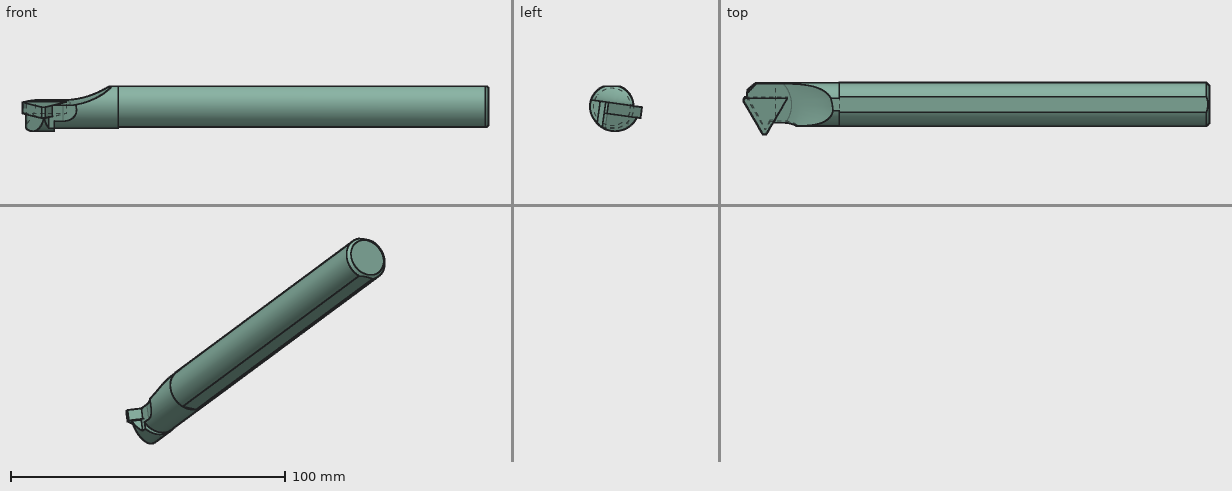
import cadquery as cq
import math

LENGTH = 170.0
SHANK_RADIUS = 8.0
FLAT_HEIGHT = 7.5
REAR_CHAMFER = 1.2
NECK_LENGTH = 35.0
NECK_STEP = 0.08
NECK_Z = -0.08

PAD_LENGTH = 11.7
PAD_RADIUS = 8.8
PAD_Y = -1.2
PAD_Z = -0.2

RAKE_ANGLE = 8.0
RAKE_Z = 1.4

INSERT_SIDE = 16.7
INSERT_THICKNESS = 4.0
INSERT_BACK_Y = 2.2
INSERT_BLUNT = 1.2
LEADING_OVERHANG = 1.4
TRAILING_OVERHANG = 1.0

SCOOP_X = 6.1
SCOOP_FLOOR_RADIUS = 11.4
SCOOP_BLEND_RADIUS = 21.5

RELIEF_Y = -6.8
RELIEF_FLAT_END = 14.8
RELIEF_RUNOUT_RADIUS = 10.2

BEVEL_POINTS = [(1.2, 2.2), (1.5, 4.2), (5.1, 8.0)]

CLEAR = 34.0
HALF_SQRT3 = math.sin(math.radians(60))


def place_on_rake(body):
    """Move a body from rake plane coordinates to its tilted place on the bar."""
    return body.rotate((0, 0, 0), (1, 0, 0), RAKE_ANGLE).translate((0, 0, RAKE_Z))


def x_cylinder(radius, start, end, y=0, z=0):
    return cq.Workplane("YZ", origin=(start, y, z)).circle(radius).extrude(end - start)


def make_blank():
    """Shank with two flats, round neck and eccentric pad."""
    shank = x_cylinder(SHANK_RADIUS, NECK_LENGTH, LENGTH).faces(">X").chamfer(REAR_CHAMFER)
    shank_length = LENGTH - NECK_LENGTH
    between_flats = cq.Workplane("XY").box(shank_length, CLEAR, 2 * FLAT_HEIGHT)
    shank = shank.intersect(between_flats.translate((NECK_LENGTH + shank_length / 2, 0, 0)))

    neck = x_cylinder(SHANK_RADIUS - NECK_STEP, 0, NECK_LENGTH, z=NECK_Z)
    above_flat = cq.Workplane("XY").box(2 * LENGTH, CLEAR, CLEAR)
    neck = neck.cut(above_flat.translate((0, 0, FLAT_HEIGHT + CLEAR / 2)))

    pad = x_cylinder(PAD_RADIUS, 0, PAD_LENGTH, PAD_Y, PAD_Z)
    return shank.union(neck).union(pad)


def insert_outline():
    """Leading edge first: left blunt end, tip blunt end, then the sharp corner in the pocket."""
    side, blunt = INSERT_SIDE, INSERT_BLUNT
    left = -blunt / 2
    back_y = INSERT_BACK_Y
    tip_x = left + side / 2
    tip_y = back_y - (side - blunt) * HALF_SQRT3
    return [
        (left + blunt, back_y),
        (left + blunt / 2, back_y - blunt * HALF_SQRT3),
        (tip_x - blunt / 2, tip_y),
        (tip_x + blunt / 2, tip_y),
        (left + side, back_y),
    ]


def make_insert():
    flat = cq.Workplane("XY").polyline(insert_outline()).close().extrude(-INSERT_THICKNESS)
    return place_on_rake(flat)


def make_scoop():
    """Chip clearance above the rake plane, open towards the front."""
    reach = SCOOP_BLEND_RADIUS
    bend = math.sqrt(0.5) * reach
    edge = SCOOP_FLOOR_RADIUS
    cutter = (
        cq.Workplane("XZ")
        .lineTo(edge, 0)
        .threePointArc((edge + bend, reach - bend), (edge + reach, reach))
        .lineTo(0, reach)
        .close()
        .revolve(360, (0, 0, 0), (0, 1, 0))
    )
    front = cq.Workplane("XY").box(CLEAR, CLEAR, CLEAR).translate((-CLEAR / 2, 0, CLEAR / 2))
    return place_on_rake(cutter.union(front).translate((SCOOP_X, 0, 0)))


def make_head_limit():
    """Prism whose plan bounds the head: bevel, relief wall and edges below the insert."""
    _, lead, tip_left, tip_right, _ = insert_outline()
    lead_shift = LEADING_OVERHANG / HALF_SQRT3
    trail_shift = TRAILING_OVERHANG / HALF_SQRT3
    lead_x = tip_left[0] + lead_shift
    trail_x = tip_right[0] - trail_shift
    apex_x = (lead_x + trail_x) / 2
    apex_y = tip_left[1] + (lead_x - trail_x) * HALF_SQRT3
    relief_x = apex_x + (RELIEF_Y - apex_y) / (2 * HALF_SQRT3)
    runout = RELIEF_RUNOUT_RADIUS
    bend = math.sqrt(0.5) * runout
    plan = (
        cq.Workplane("XY")
        .polyline([*reversed(BEVEL_POINTS), (lead[0] + lead_shift, lead[1])])
        .lineTo(apex_x, apex_y)
        .lineTo(relief_x, RELIEF_Y)
        .lineTo(RELIEF_FLAT_END, RELIEF_Y)
        .threePointArc(
            (RELIEF_FLAT_END + bend, RELIEF_Y - runout + bend),
            (RELIEF_FLAT_END + runout, RELIEF_Y - runout),
        )
    )
    plan = (
        plan.lineTo(LENGTH + CLEAR, RELIEF_Y - runout)
        .lineTo(LENGTH + CLEAR, CLEAR)
        .lineTo(BEVEL_POINTS[-1][0], CLEAR)
        .close()
    )
    return place_on_rake(plan.extrude(CLEAR, both=True))


insert = make_insert()
bar = make_blank().cut(make_scoop()).intersect(make_head_limit()).cut(insert)

result = cq.Compound.makeCompound([bar.val(), insert.val()])